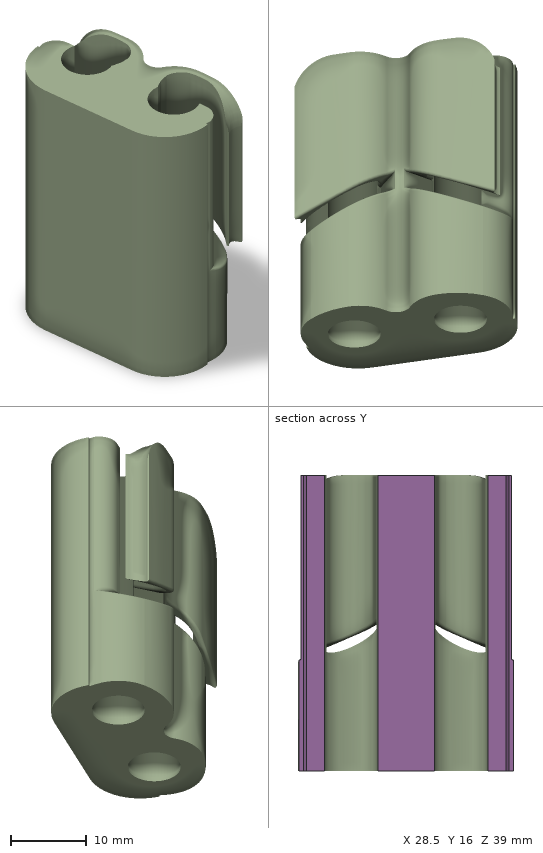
import cadquery as cq
import math

height = 39.0
half_width = 28.5 / 2
depth = 16.0

hole_diameter = 7.0
hole_x = 7.25
hole_y = 8.97

lobe_radius = 5.85
lobe_center_x = -(half_width - lobe_radius)
lobe_center_y = 9.4
shoulder_radius = 5.45
crown_angle = math.radians(125)
valley_radius = 2.0
crown_rise = math.sin(crown_angle)
crown_radius = (depth - lobe_center_y - lobe_radius * crown_rise) / (1 - crown_rise)
crown_x = lobe_center_x - (crown_radius - lobe_radius) * math.cos(crown_angle)
shoulder_center = (crown_x, depth - shoulder_radius)
valley_y = shoulder_center[1] + math.sqrt((shoulder_radius + valley_radius) ** 2 - crown_x**2)

insert_end_x = -4.6
insert_thickness = 1.0
insert_corner_radius = half_width - hole_x
insert_step_y = 7.25
insert_tip_y = 8.95
insert_bevel_point = (-13.85, 8.42)
seat_radius = half_width + insert_end_x
seat_inner_radius = seat_radius - insert_thickness
seat_center = (insert_end_x, seat_radius)

lip_y = 10.3
lip_round_start_x = -11.55
lip_round_middle = (-13.45, 9.48)
lip_round_end_y = 7.9

cavity_corner = (-3.82, 9.85)
cavity_bend = (-3.3, 11.15)
cavity_back = (-3.2, 12.55)
cavity_shoulder = (-3.85, 13.92)
cavity_crown = (-5.3, 14.85)
hook_inner_middle = (-9.48, 14.65)
hook_inner_end = (-13.55, 12.15)

hook_tip_x = -13.65
hook_outer_y = 15.5
hook_hollow_top = 15.25
hook_hollow_bottom = 12.55
hook_end_middle = (-13.15, 13.92)
hook_outer_middle = (-10.37, 15.85)
hook_corner_radius = 5.07

slot_tilt = math.radians(30)
slot_heading = math.radians(-40)
slot_corner_z = 18.8
slot_overrun = 0.45
slot_height = 2.5
slot_gap = slot_height * math.cos(slot_tilt)
rim_radius = 0.3

reach = 58.5


def on_circle(center, radius, angle):
    """Point on a circle at an angle measured from +X."""
    return (center[0] + radius * math.cos(angle), center[1] + radius * math.sin(angle))


def seat_point(radius, y):
    """Left-hand point at height y on a circle around the insert seat center."""
    return (seat_center[0] - math.sqrt(radius**2 - (y - seat_center[1]) ** 2), y)


def halfway(center, radius, start, end):
    """Middle of the shorter arc from start to end."""
    dx = (start[0] + end[0]) / 2 - center[0]
    dy = (start[1] + end[1]) / 2 - center[1]
    return on_circle(center, radius, math.atan2(dy, dx))


def arc(sketch, center, radius, start, end):
    """Adds the shorter arc about center from start to end."""
    return sketch.threePointArc(halfway(center, radius, start, end), end)


corner_center = (-hole_x, insert_corner_radius)
corner_bottom = (-hole_x, 0)
corner_side = (-half_width, insert_corner_radius)
seat_step = seat_point(seat_radius, insert_step_y)


def body_half():
    """Solid left half of the body, including the space of the insert."""
    lobe_center = (lobe_center_x, lobe_center_y)
    lobe_start_angle = math.atan2(lobe_center_y - seat_center[1], lobe_center_x - seat_center[0])
    lobe_start = on_circle(lobe_center, lobe_radius, lobe_start_angle)
    crown_start = on_circle(lobe_center, lobe_radius, crown_angle)
    crown_center = (crown_x, depth - crown_radius)
    crown = (crown_x, depth)
    valley_center = (0, valley_y)
    valley_bottom = (0, valley_y - valley_radius)
    to_valley = math.atan2(valley_y - shoulder_center[1], -crown_x)
    valley_start = on_circle(shoulder_center, shoulder_radius, to_valley)

    sketch = cq.Workplane("XY").lineTo(*corner_bottom)
    sketch = arc(sketch, corner_center, insert_corner_radius, corner_bottom, corner_side)
    sketch = sketch.lineTo(-half_width, insert_step_y).lineTo(*seat_step)
    sketch = arc(sketch, seat_center, seat_radius, seat_step, lobe_start)
    sketch = arc(sketch, lobe_center, lobe_radius, lobe_start, crown_start)
    sketch = arc(sketch, crown_center, crown_radius, crown_start, crown)
    sketch = arc(sketch, shoulder_center, shoulder_radius, crown, valley_start)
    sketch = arc(sketch, valley_center, valley_radius, valley_start, valley_bottom)
    return sketch.close().extrude(height)


def insert_left():
    """Full-height insert that forms the left rounded corner."""
    seat_tip = seat_point(seat_inner_radius, insert_tip_y)
    seat_end = (insert_end_x, insert_thickness)
    sketch = cq.Workplane("XY").moveTo(insert_end_x, 0).lineTo(*corner_bottom)
    sketch = arc(sketch, corner_center, insert_corner_radius, corner_bottom, corner_side)
    sketch = sketch.lineTo(-half_width, insert_step_y).lineTo(*seat_step)
    sketch = sketch.lineTo(*insert_bevel_point).lineTo(*seat_tip)
    sketch = arc(sketch, seat_center, seat_inner_radius, seat_tip, seat_end)
    return sketch.close().extrude(height)


def slope_plane():
    """Plane of the slot floor, with its x axis pointing up the slope."""
    flat, rise = math.cos(slot_tilt), math.sin(slot_tilt)
    east, north = math.cos(slot_heading), math.sin(slot_heading)
    return cq.Plane(
        origin=(*cavity_corner, slot_corner_z),
        xDir=(east * flat, north * flat, rise),
        normal=(-east * rise, -north * rise, flat),
    )


def above_slope(offset):
    """Everything higher than the slot floor shifted by offset."""
    return cq.Workplane(slope_plane()).workplane(offset=offset).rect(2 * reach, 2 * reach).extrude(reach)


def lip_edge(sketch):
    """Runs from the cavity corner along the lip and out past the side."""
    return (
        sketch.moveTo(*cavity_corner)
        .lineTo(-hole_x, lip_y)
        .lineTo(lip_round_start_x, lip_y)
        .threePointArc(lip_round_middle, seat_point(seat_radius, lip_round_end_y))
        .lineTo(-depth, lip_round_end_y)
        .lineTo(-depth, 2 * depth)
    )


def hook_end(sketch):
    """Hollow end face of the hook, from its outer face to its tip."""
    return (
        sketch.lineTo(hook_tip_x, hook_hollow_top)
        .threePointArc(hook_end_middle, (hook_tip_x, hook_hollow_bottom))
        .lineTo(*hook_inner_end)
        .threePointArc(hook_inner_middle, cavity_crown)
    )


def mouth():
    """Space above the slot floor for the cord cavity, the hook and the opening at its end."""
    sketch = lip_edge(cq.Workplane("XY")).lineTo(crown_x, 2 * depth)
    sketch = sketch.lineTo(crown_x, depth).lineTo(*cavity_crown)
    sketch = sketch.threePointArc(cavity_shoulder, cavity_back).lineTo(*cavity_bend)
    return sketch.close().extrude(height).intersect(above_slope(0))


def slot():
    """Sloping gap under the hook, from the lip to an upright end wall."""
    east, north = math.cos(slot_heading), math.sin(slot_heading)
    end_wall = (cavity_corner[0] + slot_overrun * east, cavity_corner[1] + slot_overrun * north)
    zone = lip_edge(cq.Workplane("XY"))
    zone = zone.lineTo(end_wall[0] - reach * north, end_wall[1] + reach * east).lineTo(*end_wall)
    return zone.close().extrude(height).intersect(above_slope(0)).cut(above_slope(slot_gap))


def hook():
    """Flared hook with a hollow end and a rounded upper corner."""
    sketch = cq.Workplane("XY").moveTo(crown_x, depth)
    sketch = sketch.threePointArc(hook_outer_middle, (hook_tip_x, hook_outer_y))
    blank = hook_end(sketch).close().extrude(height)
    end_edge = cq.selectors.NearestToPointSelector((*hook_end_middle, height))
    rounded = blank.faces(">Z").edges(end_edge).fillet(hook_corner_radius)
    return rounded.intersect(above_slope(slot_gap))


def slope_point(plan_point, lift):
    """Point of the slot floor over a plan point, raised by lift."""
    x = plan_point[0] - cavity_corner[0]
    y = plan_point[1] - cavity_corner[1]
    along = x * math.cos(slot_heading) + y * math.sin(slot_heading)
    return (*plan_point, slot_corner_z + along * math.tan(slot_tilt) + lift)


def midpoint(start, end):
    return ((start[0] + end[0]) / 2, (start[1] + end[1]) / 2)


def round_slot_rims(half):
    """Rounds the outer rim of the slot floor and the rims of the hook and cavity wall above it."""
    rim_points = [
        slope_point(hook_outer_middle, 0),
        slope_point(hook_outer_middle, slot_height),
        slope_point(hook_inner_middle, slot_height),
        slope_point(midpoint(cavity_back, cavity_bend), slot_height),
        slope_point(midpoint(cavity_bend, cavity_corner), slot_height),
    ]
    rims = cq.Workplane("XY")
    for point in rim_points:
        rims = rims.add(half.edges(cq.selectors.NearestToPointSelector(point)))
    return half.newObject(rims.vals()).fillet(rim_radius)


def cord_hole():
    """Through hole for the cord."""
    return cq.Workplane("XY").center(-hole_x, hole_y).circle(hole_diameter / 2).extrude(height)


def body():
    """Clip body: the left half joined to its mirror image."""
    half = body_half().cut(mouth()).union(hook()).cut(slot()).cut(insert_left())
    half = round_slot_rims(half).cut(cord_hole())
    return half.union(half.mirror("YZ")).solids()


clip = body()
left = insert_left()
inserts = [left, left.mirror("YZ")]
result = cq.Compound.makeCompound([clip.val(), *[insert.val() for insert in inserts]])